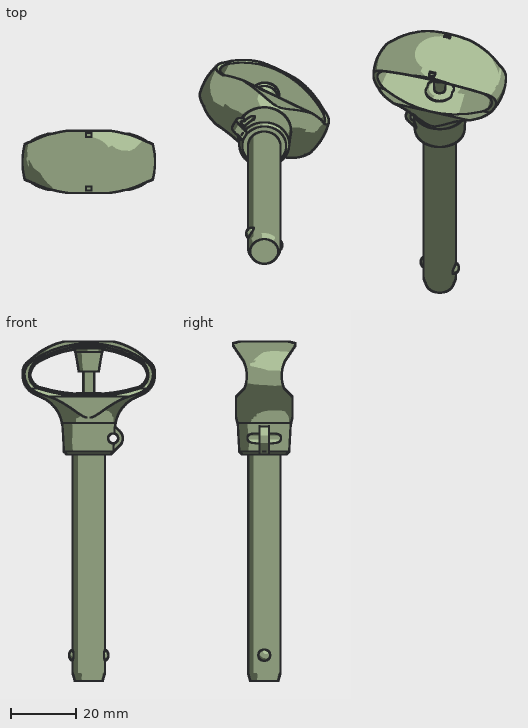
import cadquery as cq
import math


shank_radius = 5.0
shank_length = 69.6
tip_radius = 4.3
tip_length = 2.5

ball_radius = 1.9
ball_reach = 6.1
ball_height_above_tip = 8.0

collar_bottom_radius = 7.7
collar_top_radius = 8.2
collar_height = 9.8
collar_chamfer = 0.95

handle_top = 34.8
handle_radius = 20.4
equator_height = 24.4
crown_radius = 7.55
neck_radius = 8.3
neck_mid = (10.2, 14.2)
neck_end = (13.3, 17.0)
belly_start = (16.5, 18.5)
belly_mid = (19.5, 21.2)
brow_mid = (19.85, 27.2)
dome_start = (18.4, 28.8)
dome_mid = (13.2, 32.7)

flank_half_width = 8.7
flank_top = 17.8
waist_bottom = (6.1, 20.4)
waist_half_width = 5.4
waist_top = (6.4, dome_start[1])
crown_half_width = 9.6
crown_edge_height = 33.5

eye_radius = 17.9
eye_top = 32.6
eye_floor = 18.6
eye_corner = (15.3, 20.8)
eye_lower_mid = (17.2, 22.4)
eye_upper_mid = (17.3, 26.6)
eye_shoulder = (15.3, 28.6)
eye_draft = 5.0
eye_depth = 12.0

rod_radius = 1.7
button_top_radius = 4.7
button_shoulder_radius = 4.15
button_bottom_radius = 3.1
button_shoulder_height = 31.6
button_bottom_height = 25.5
rod_boss_radius = 3.2
rod_boss_base_radius = 4.45
rod_boss_height = 0.4
button_overlap = 0.5

lug_x = 7.5
lug_height = 5.0
lug_radius = 3.0
lug_thickness = 3.0
lug_root = 4.0
lug_hole_radius = 1.5

notch_width = 1.7
notch_length = 1.3
notch_depth = 0.5


def make_handle_envelope():
    """Domed grip, flared neck and collar as one turned body."""
    return (
        cq.Workplane("YZ")
        .moveTo(0, 0)
        .lineTo(collar_bottom_radius - collar_chamfer, 0)
        .lineTo(collar_bottom_radius, collar_chamfer)
        .lineTo(collar_top_radius, collar_height)
        .lineTo(neck_radius, collar_height)
        .threePointArc(neck_mid, neck_end)
        .lineTo(*belly_start)
        .threePointArc(belly_mid, (handle_radius, equator_height))
        .threePointArc(brow_mid, dome_start)
        .threePointArc(dome_mid, (crown_radius, handle_top))
        .lineTo(0, handle_top)
        .close()
        .revolve(360, (0, 0, 0), (0, 1, 0))
    )


def make_flank_cutter(side):
    """Material removed from one side of the handle to form its waisted flank."""
    outside = 2 * handle_radius
    profile = (
        cq.Workplane("YZ", origin=(-outside, 0, 0))
        .moveTo(side * outside, 0)
        .lineTo(side * flank_half_width, 0)
        .lineTo(side * flank_half_width, flank_top)
        .lineTo(side * waist_bottom[0], waist_bottom[1])
        .threePointArc((side * waist_half_width, equator_height), (side * waist_top[0], waist_top[1]))
        .lineTo(side * crown_half_width, crown_edge_height)
        .lineTo(side * crown_half_width, handle_top)
        .lineTo(side * outside, handle_top)
        .close()
    )
    return profile.extrude(2 * outside)


def mirrored(point):
    """The matching outline point on the other side of the handle."""
    return (-point[0], point[1])


def make_eye_half(side):
    """Finger opening from the middle plane out to one side, widening with draft."""
    eye_end = (eye_radius, equator_height)
    plane = cq.Plane(origin=(0, 0, 0), xDir=(-side, 0, 0), normal=(0, side, 0))
    profile = (
        cq.Workplane(plane)
        .moveTo(*mirrored(eye_corner))
        .threePointArc((0, eye_floor), eye_corner)
        .threePointArc(eye_lower_mid, eye_end)
        .threePointArc(eye_upper_mid, eye_shoulder)
        .threePointArc((0, eye_top), mirrored(eye_shoulder))
        .threePointArc(mirrored(eye_upper_mid), mirrored(eye_end))
        .threePointArc(mirrored(eye_lower_mid), mirrored(eye_corner))
        .close()
    )
    return profile.extrude(eye_depth, taper=-eye_draft)


def make_button():
    """Push button hanging from the crown, its rod, and the boss around the rod."""
    return (
        cq.Workplane("YZ")
        .moveTo(0, eye_top + button_overlap)
        .lineTo(button_top_radius, eye_top + button_overlap)
        .lineTo(button_top_radius, eye_top)
        .lineTo(button_shoulder_radius, button_shoulder_height)
        .lineTo(button_bottom_radius, button_bottom_height)
        .lineTo(rod_radius, button_bottom_height)
        .lineTo(rod_radius, eye_floor + rod_boss_height)
        .lineTo(rod_boss_radius, eye_floor + rod_boss_height)
        .lineTo(rod_boss_base_radius, eye_floor)
        .lineTo(rod_boss_base_radius, collar_height)
        .lineTo(0, collar_height)
        .close()
        .revolve(360, (0, 0, 0), (0, 1, 0))
    )


def make_shank():
    """Cylindrical shank with a tapered tip."""
    return (
        cq.Workplane("YZ")
        .lineTo(shank_radius, 0)
        .lineTo(shank_radius, tip_length - shank_length)
        .lineTo(tip_radius, -shank_length)
        .lineTo(0, -shank_length)
        .close()
        .revolve(360, (0, 0, 0), (0, 1, 0))
    )


def make_ball(side):
    """Locking ball standing out of the shank on one side."""
    center = (side * (ball_reach - ball_radius), 0, ball_height_above_tip - shank_length)
    return cq.Workplane("XY").sphere(ball_radius).translate(center)


def make_lug():
    """Rounded tether lug whose two 45 degree flanks run back into the collar."""
    tangent = lug_radius * math.sqrt(0.5)
    lower_foot = lug_x - lug_height + lug_radius * math.sqrt(2)
    upper_foot_height = 2 * lug_height
    upper_foot = lug_x + lug_height + lug_radius * math.sqrt(2) - upper_foot_height
    return (
        cq.Workplane("XZ")
        .moveTo(lug_root, 0)
        .lineTo(lower_foot, 0)
        .lineTo(lug_x + tangent, lug_height - tangent)
        .threePointArc((lug_x + lug_radius, lug_height), (lug_x + tangent, lug_height + tangent))
        .lineTo(upper_foot, upper_foot_height)
        .lineTo(lug_root, upper_foot_height)
        .close()
        .extrude(lug_thickness / 2, both=True)
    )


def make_lug_hole():
    """Tether hole, drilled along Y through lug and collar edge."""
    return (
        cq.Workplane("XZ")
        .center(lug_x, lug_height)
        .circle(lug_hole_radius)
        .extrude(handle_radius, both=True)
    )


def make_crown_notch(side):
    """Shallow notch in the dome beside the flat crown."""
    center_y = side * (crown_radius + notch_length / 2)
    return (
        cq.Workplane("XY", origin=(0, center_y, handle_top - notch_depth))
        .rect(notch_width, notch_length)
        .extrude(notch_depth)
    )


result = make_handle_envelope()
for side in (-1, 1):
    result = result.cut(make_flank_cutter(side))
for side in (-1, 1):
    result = result.cut(make_eye_half(side))
result = result.union(make_button()).union(make_lug()).cut(make_lug_hole())
for side in (-1, 1):
    result = result.cut(make_crown_notch(side))
result = result.union(make_shank())
for side in (-1, 1):
    result = result.union(make_ball(side))